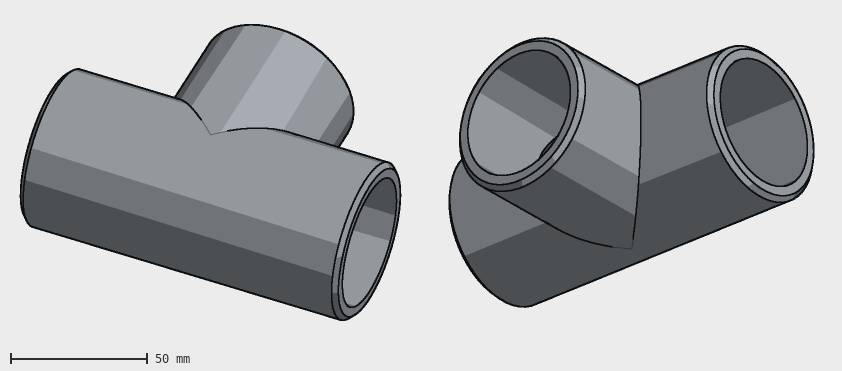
import cadquery as cq

run_length = 127.0
outer_diameter = 60.3
bore_diameter = 49.3
bevel_size = 1.9

outer_radius = outer_diameter / 2
bore_radius = bore_diameter / 2
half_run = run_length / 2
branch_length = half_run


def bevelled_arm(direction, length):
    """Solid cylinder from the tee centre, bevelled at its open end."""
    plane = cq.Plane(origin=(0, 0, 0), xDir=(0, 0, 1), normal=direction)
    return (
        cq.Workplane(plane)
        .circle(outer_radius)
        .extrude(length)
        .faces(cq.selectors.DirectionMinMaxSelector(cq.Vector(direction), True))
        .chamfer(bevel_size)
    )


def bore(direction, length):
    """Cylinder from the tee centre that hollows one arm."""
    plane = cq.Plane(origin=(0, 0, 0), xDir=(0, 0, 1), normal=direction)
    return cq.Workplane(plane).circle(bore_radius).extrude(length)


arms = [
    ((-1, 0, 0), half_run),
    ((1, 0, 0), half_run),
    ((0, 1, 0), branch_length),
]

result = bevelled_arm(*arms[0])
for direction, length in arms[1:]:
    result = result.union(bevelled_arm(direction, length))
for direction, length in arms:
    result = result.cut(bore(direction, length))